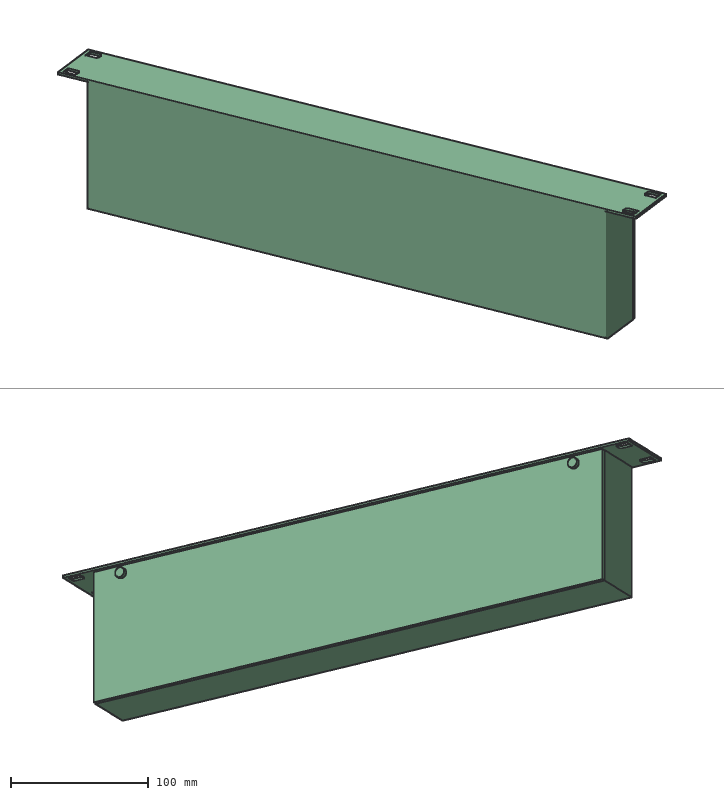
import cadquery as cq

panel_length = 484.0
panel_width = 44.0
total_height = 104.5
panel_thickness = 2.0

box_length = 435.5
box_depth = 41.0
bend_radius = 1.5
box_height = total_height - panel_thickness
box_front = -panel_width / 2
box_back = box_front + box_depth

cover_thickness = 3.0
cover_inset = 0.25

slot_length = 10.0
slot_width = 7.0
slot_corner_radius = 2.0
slot_spacing_x = 467.5
slot_spacing_y = 32.0

screw_diameter = 7.7
screw_drop = 8.0
screw_spacing = 387.0
screw_height = panel_width / 2 - box_back


def make_panel():
    """Flat top panel with a mounting slot near each corner."""
    panel = cq.Workplane("XY").box(
        panel_length, panel_width, panel_thickness, centered=(True, True, False)
    )
    for side, inner_end in ((-1, ">X"), (1, "<X")):
        slot = (
            cq.Workplane("XY")
            .box(slot_length, slot_width, panel_thickness, centered=(True, True, False))
            .faces(inner_end).edges("|Z").fillet(slot_corner_radius)
        )
        for end in (-1, 1):
            position = (side * slot_spacing_x / 2, end * slot_spacing_y / 2, 0)
            panel = panel.cut(slot.translate(position))
    return panel


def make_box():
    """Box body with rounded front and bottom bends."""
    body_depth = box_depth - cover_thickness
    body = (
        cq.Workplane("XY")
        .box(box_length, body_depth, box_height, centered=(True, False, False))
        .translate((0, box_front, -box_height))
    )
    return body.faces("<Y").edges("|Z or <Z").fillet(bend_radius)


def make_cover():
    """Rear cover plate, set in from the sides and bottom of the box."""
    length = box_length - 2 * cover_inset
    height = box_height - cover_inset
    return (
        cq.Workplane("XY")
        .box(length, cover_thickness, height, centered=(True, False, False))
        .translate((0, box_back - cover_thickness, -height))
    )


def make_screw_heads():
    """Pair of round screw heads near the top of the rear cover."""
    axis_height = panel_thickness - screw_drop
    return (
        cq.Workplane("XZ", origin=(0, box_back, axis_height))
        .rarray(screw_spacing, 5, 2, 1)
        .circle(screw_diameter / 2)
        .extrude(-screw_height)
    )


result = make_panel().union(make_box()).union(make_cover()).union(make_screw_heads())